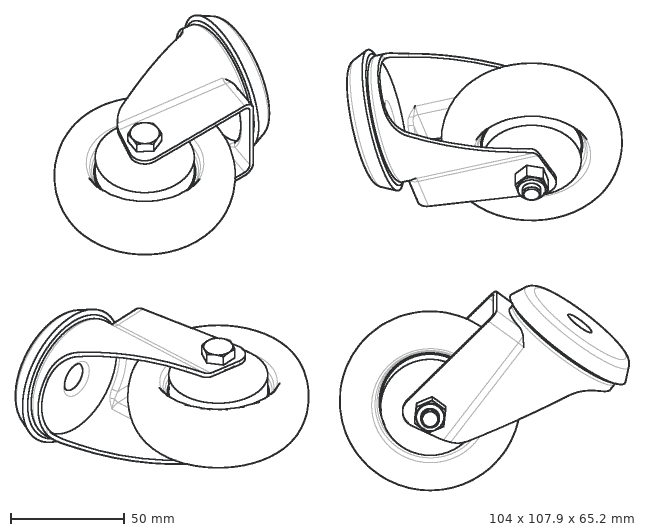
import cadquery as cq
import math


wheel_x = 32.0
wheel_y = -67.9
tread_radius = 40.0
tread_half_width = 14.9
crest_radius = 32.4
seat_radius = 26.0
web_steps = [(24.5, 5.6), (23.6, 3.8), (22.6, 2.5)]
web_half_thickness = web_steps[-1][1]

dome_radius = 21.9
dome_edge_z = 11.8
dome_face_radius = 8.6

sheet = 2.0
fork_radius = 28.6
leg_outer_z = 22.0
leg_inner_z = leg_outer_z - sheet
fork_top_y = -10.0
shoulder_y = -13.9
shoulder_bend = 5.0
leg_blend = 5.0
shoulder_round = 2.2
top_edge_round = 1.8
stem_hole_radius = 6.5
stem_hole_round = 1.9

skirt_y = -15.2
skirt_corner = (-15.7, -17.1)
heel_corner = (14.8, -73.4)
toe_corner = (44.7, -79.3)
leg_top_corner = (35.6, shoulder_y)
skirt_curve = 16.1
heel_curve = 14.6
toe_curve = 6.9

cap_radius = 32.0
cap_rim_y = -9.0
cap_top_radius = 27.9
cap_bottom_radius = 29.8
cap_round = 4.0

shank_radius = 4.1
bolt_end_z = -33.2
bolt_end_chamfer = 0.6
hex_flats = 13.0
hex_corner_radius = hex_flats / 2 / math.cos(math.pi / 6)
head_height = 5.0
hex_height = 6.7
nut_height = 8.2
nut_collar_radius = 6.2
head_chamfer_height = 0.5

clearance = 8.6
blank_bottom_y = toe_corner[1] - clearance
blank_far_x = toe_corner[0] + clearance


def disc(radius, top_y, bottom_y):
    """Cylinder on the swivel axis."""
    return (
        cq.Workplane("XZ", origin=(0, top_y, 0))
        .circle(radius)
        .extrude(top_y - bottom_y)
    )


def axle_cylinder(radius, low_z, high_z):
    """Cylinder on the wheel axis."""
    return (
        cq.Workplane("XY", origin=(wheel_x, wheel_y, low_z))
        .circle(radius)
        .extrude(high_z - low_z)
    )


def on_axle(body):
    """Move a body made on the Z axis to the wheel axis."""
    return body.translate((wheel_x, wheel_y, 0))


def make_cap():
    """Conical swivel cap with a rounded top and a hole for the stem."""
    body = (
        cq.Workplane("XY")
        .polyline([
            (0, 0),
            (cap_top_radius, 0),
            (cap_radius, cap_rim_y),
            (cap_bottom_radius, fork_top_y),
            (0, fork_top_y),
        ])
        .close()
        .revolve(360, (0, 0, 0), (0, 1, 0))
    )
    return body.faces(">Y").edges().fillet(cap_round).cut(disc(stem_hole_radius, 0, fork_top_y))


def fork_block(radius, half_width, blend, bend, step_y, cup):
    """Cup joined to a channel to +X by blended corners, the top edges of the channel being bent round."""
    channel = (
        cq.Workplane("XY")
        .box(blank_far_x, step_y - blank_bottom_y, 2 * half_width, centered=(False, False, True))
        .translate((0, blank_bottom_y, 0))
    )
    channel = channel.union(disc(radius, step_y, blank_bottom_y))
    corner_x = math.sqrt(radius**2 - half_width**2)
    middle_y = (step_y + blank_bottom_y) / 2
    for side in (1, -1):
        corner = cq.selectors.NearestToPointSelector((corner_x, middle_y, side * half_width))
        channel = channel.edges(corner).fillet(blend)
    channel = channel.faces(">Y").edges().fillet(bend)
    return channel.union(cup)


def fork_outline():
    """Block that trims the fork to its shape seen along the wheel axis."""
    far_x = -fork_radius - clearance
    block = (
        cq.Workplane("XY", origin=(0, 0, -fork_radius))
        .polyline([
            (far_x, fork_top_y),
            (far_x, skirt_y),
            (-fork_radius, skirt_y),
            skirt_corner,
            heel_corner,
            toe_corner,
            leg_top_corner,
            (leg_top_corner[0], fork_top_y),
        ])
        .close()
        .extrude(2 * fork_radius)
    )
    rounds = ((skirt_corner, skirt_curve), (heel_corner, heel_curve), (toe_corner, toe_curve))
    for corner, curve in rounds:
        block = block.edges(cq.selectors.NearestToPointSelector((*corner, 0))).fillet(curve)
    return block


def make_fork():
    """Sheet fork: a solid blank less its hollow, trimmed to the side outline and pierced."""
    outer_cup = disc(fork_radius, fork_top_y, blank_bottom_y).faces(">Y").edges().fillet(top_edge_round)
    outer = fork_block(fork_radius, leg_outer_z, leg_blend, shoulder_bend, shoulder_y, outer_cup)

    inner_radius = fork_radius - sheet
    ceiling_y = fork_top_y - sheet
    inner_step_y = shoulder_y - sheet
    inner_cup = disc(inner_radius, ceiling_y, blank_bottom_y)
    hollow = fork_block(
        inner_radius, leg_inner_z, leg_blend + sheet, shoulder_bend - sheet, inner_step_y, inner_cup
    )
    shoulder_edge = cq.selectors.BoxSelector(
        (leg_inner_z, inner_step_y - sheet / 2, -leg_inner_z),
        (inner_radius, inner_step_y + sheet / 2, leg_inner_z),
    )
    hollow = hollow.edges(shoulder_edge).fillet(shoulder_round)

    body = outer.cut(hollow).intersect(fork_outline())
    body = body.cut(axle_cylinder(shank_radius, -leg_outer_z, leg_outer_z))
    body = body.cut(disc(stem_hole_radius, fork_top_y, ceiling_y))
    ceiling = cq.selectors.NearestToPointSelector((stem_hole_radius + sheet, ceiling_y, 0))
    return body.faces(ceiling).edges(cq.selectors.RadiusNthSelector(0)).fillet(stem_hole_round)


def make_wheel():
    """Elliptical tyre ring closed by a thin web; the section is mirrored about the wheel's middle plane."""
    tyre_depth = tread_radius - crest_radius
    seat_angle = math.acos((seat_radius - crest_radius) / tyre_depth)
    seat_z = tread_half_width * math.sin(seat_angle)
    arc_end = math.degrees(seat_angle)
    steps = [*web_steps, (shank_radius, web_half_thickness)]
    section = (
        cq.Workplane("XZ")
        .moveTo(seat_radius, -seat_z)
        .ellipseArc(tyre_depth, tread_half_width, -arc_end, arc_end, sense=1)
    )
    for radius, height in steps:
        section = section.lineTo(radius, height)
    for radius, height in reversed(steps):
        section = section.lineTo(radius, -height)
    return on_axle(section.close().revolve(360, (0, 0, 0), (0, 1, 0)))


def make_dome(side):
    """Spherical thread guard between the wheel web and one fork leg; side is 1 or -1 along Z."""
    mid_r = (dome_radius + dome_face_radius) / 2
    drop = leg_inner_z - dome_edge_z
    centre_z = (
        dome_face_radius**2 + leg_inner_z**2 - dome_radius**2 - dome_edge_z**2
    ) / (2 * drop)
    sphere = math.hypot(dome_radius, dome_edge_z - centre_z)
    mid_z = centre_z + math.sqrt(sphere**2 - mid_r**2)
    body = (
        cq.Workplane("XZ")
        .moveTo(shank_radius, side * web_half_thickness)
        .lineTo(dome_radius, side * web_half_thickness)
        .lineTo(dome_radius, side * dome_edge_z)
        .threePointArc((mid_r, side * mid_z), (dome_face_radius, side * leg_inner_z))
        .lineTo(shank_radius, side * leg_inner_z)
        .close()
        .revolve(360, (0, 0, 0), (0, 1, 0))
    )
    return on_axle(body)


def hexagon(low_z, height):
    """Hexagonal prism on the wheel axis, with corners along X."""
    return (
        cq.Workplane("XY", origin=(wheel_x, wheel_y, low_z))
        .polygon(6, 2 * hex_corner_radius)
        .extrude(height)
    )


def make_bolt():
    """Hexagon bolt with its head on the upper leg."""
    head_top_z = leg_outer_z + head_height
    turned_edge = (
        axle_cylinder(hex_corner_radius, leg_outer_z, head_top_z)
        .faces(">Z").edges()
        .chamfer(head_chamfer_height, hex_corner_radius - hex_flats / 2)
    )
    head = hexagon(leg_outer_z, head_height).intersect(turned_edge)
    shank = axle_cylinder(shank_radius, bolt_end_z, leg_outer_z).faces("<Z").chamfer(bolt_end_chamfer)
    return head.union(shank)


def make_nut():
    """Hexagon lock nut with a round collar below the lower leg."""
    collar = axle_cylinder(nut_collar_radius, -leg_outer_z - nut_height, -leg_outer_z)
    bore = axle_cylinder(shank_radius, -leg_outer_z - nut_height, -leg_outer_z)
    return hexagon(-leg_outer_z - hex_height, hex_height).union(collar).cut(bore)


cap = make_cap()
fork = make_fork()
wheel = make_wheel()
domes = [make_dome(side) for side in (1, -1)]
bolt = make_bolt()
nut = make_nut()

result = cq.Compound.makeCompound(
    [cap.val(), fork.val(), wheel.val(), *[dome.val() for dome in domes], bolt.val(), nut.val()]
)